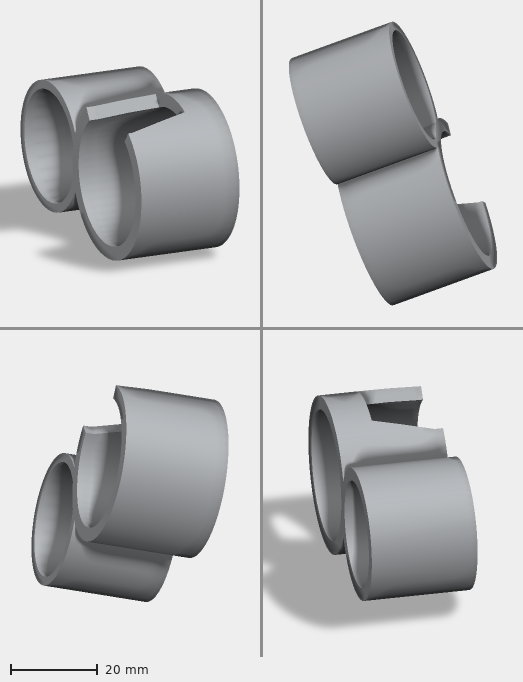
import cadquery as cq

length = 65.0
depth = 25.0
small_radius = 15.5
large_radius = 18.495
large_bore_radius = 15.3
ring_spacing = length - small_radius - large_radius

small_mouth_radius = 13.4
small_bore_radius = 12.5
taper_depth = 10.0

window_depth = 16.05
window_low_z = 9.75
window_high_z = large_radius + 1.3
front_overrun = 0.65

left_lean = 0.65
left_front_offset = 1.5
left_rear_offset = -3.3
left_straight = 2.0
right_lean = 0.79
right_front_offset = -0.1
right_rear_offset = -5.25
right_straight = 1.0


def cylinder_along_y(radius, x_center=0.0):
    return cq.Workplane("XZ").center(x_center, 0).circle(radius).extrude(-depth)


def make_small_bore():
    profile = [
        (0, 0),
        (small_mouth_radius, 0),
        (small_bore_radius, taper_depth),
        (small_bore_radius, depth),
        (0, depth),
    ]
    return cq.Workplane("XY").polyline(profile).close().revolve(360, (0, 0, 0), (0, 1, 0))


def window_outline(z):
    """Plan outline of the window at height z; the walls lean outward as z rises."""
    left_front = ring_spacing - left_lean * z - left_front_offset
    left_rear = ring_spacing - left_lean * z - left_rear_offset
    right_front = ring_spacing + right_lean * z + right_front_offset
    right_rear = ring_spacing + right_lean * z + right_rear_offset
    return [
        (left_front, -front_overrun),
        (right_front, -front_overrun),
        (right_front, right_straight),
        (right_rear, window_depth),
        (left_rear, window_depth),
        (left_front, left_straight),
    ]


def make_window():
    return (
        cq.Workplane("XY", origin=(0, 0, window_low_z))
        .polyline(window_outline(window_low_z)).close()
        .workplane(offset=window_high_z - window_low_z)
        .polyline(window_outline(window_high_z)).close()
        .loft(ruled=True)
    )


small_ring = cylinder_along_y(small_radius).cut(make_small_bore())
large_ring = cylinder_along_y(large_radius, ring_spacing)
result = small_ring.union(large_ring)
result = result.cut(cylinder_along_y(large_bore_radius, ring_spacing))
result = result.cut(make_window())